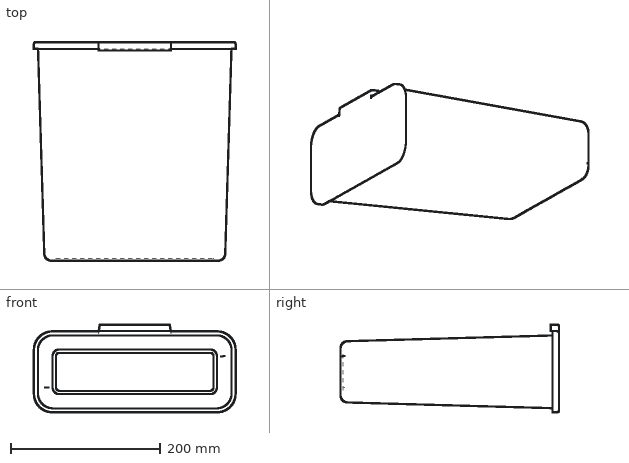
import cadquery as cq

total_length = 293.48
total_height = 118.0

rim_width = 271.0
rim_height = 109.0
rim_thickness = 9.0
rim_edge_radius = 3.0

rim_overhang = 5.3
mouth_width = rim_width - 2 * rim_overhang
mouth_height = rim_height - 2 * rim_overhang
end_width = 242.5
end_height = 82.0
corner_radius = 20.0
rim_corner_radius = corner_radius + rim_overhang
end_edge_radius = 10.0

end_border = 1.0
recess_inset = end_edge_radius + end_border
recess_depth = 3.2
recess_slope_run = 4.5
recess_corner_radius = corner_radius - recess_inset

tab_base_width = 97.0
tab_top_width = 94.0
tab_depth = 11.5
tab_corner_radius = 1.0


def section_wire(width, height, radius, y):
    """Closed rounded-rectangle wire in the plane at the given Y."""
    plane = cq.Workplane("XZ", origin=(0, y, 0))
    slab = plane.rect(width, height).extrude(radius)
    return slab.edges("|Y").fillet(radius).faces(">Y").wires().val()


def tapered_block(near, far):
    """Straight-sided block between two sections given as (width, height, radius, y)."""
    solid = cq.Solid.makeLoft([section_wire(*near), section_wire(*far)], True)
    return cq.Workplane(solid)


def make_body():
    """Tapered bin body with a rounded edge around its closed end."""
    body = tapered_block(
        (mouth_width, mouth_height, corner_radius, 0),
        (end_width, end_height, corner_radius, -total_length),
    )
    return body.faces("<Y").edges().fillet(end_edge_radius)


def make_recess():
    """Shallow dished volume removed from the closed end."""
    opening_width = end_width - 2 * recess_inset
    opening_height = end_height - 2 * recess_inset
    return tapered_block(
        (opening_width, opening_height, recess_corner_radius, -total_length),
        (
            opening_width - 2 * recess_slope_run,
            opening_height - 2 * recess_slope_run,
            recess_corner_radius - recess_slope_run,
            recess_depth - total_length,
        ),
    )


def make_rim():
    """Flange around the mouth with its outer edge rounded on the +Y side."""
    rim = cq.Workplane("XZ").rect(rim_width, rim_height).extrude(rim_thickness)
    return rim.edges("|Y").fillet(rim_corner_radius).faces(">Y").edges().fillet(rim_edge_radius)


def make_tab():
    """Grip tab with sloping sides and a rounded top, reaching past the rim towards -Y."""
    base = rim_height / 2
    top = total_height - base
    tab = (
        cq.Workplane("XZ")
        .polyline([
            (-tab_base_width / 2, base),
            (-tab_top_width / 2, top),
            (tab_top_width / 2, top),
            (tab_base_width / 2, base),
        ])
        .close()
        .extrude(tab_depth)
        .faces(">Y")
        .edges(">Z")
        .fillet(rim_edge_radius)
    )
    side_corners = tab.faces(">Z").edges("|Y")
    return side_corners.fillet(tab_corner_radius)


def make_tab_root():
    """Block that joins the tab to the rim where the rim edge is rounded away."""
    root_depth = rim_thickness / 2
    root = cq.Workplane("XZ", origin=(0, 0, rim_height / 2 - rim_edge_radius))
    return root.rect(tab_base_width, 2 * rim_edge_radius).extrude(root_depth)


bin_with_rim = make_body().union(make_rim())
bin_with_tab = bin_with_rim.union(make_tab()).union(make_tab_root())
result = bin_with_tab.cut(make_recess())